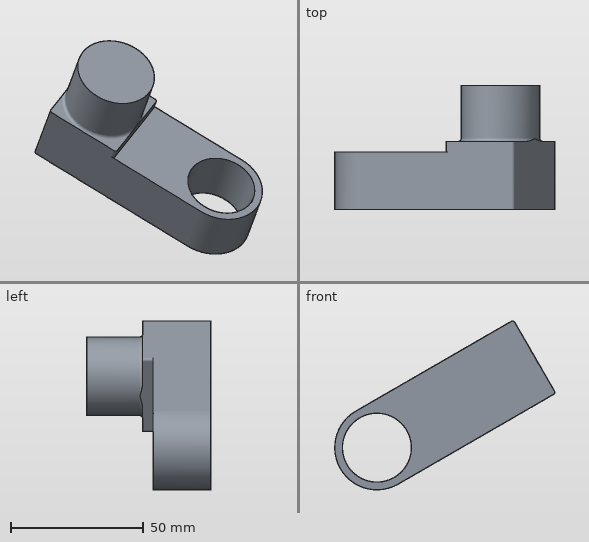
import cadquery as cq
import math

overall_length = 83.3
arm_angle = 30.0
eye_radius = 16.0
bore_radius = 13.0
arm_thickness = 21.8
pad_thickness = 4.0
pad_start = 39.05
corner_radius = 1.0
total_depth = 47.0
root_radius = 1.0

tilt_cos = math.cos(math.radians(arm_angle))
tilt_sin = math.sin(math.radians(arm_angle))
corner_reach = eye_radius * tilt_sin - corner_radius * (tilt_cos + tilt_sin - 1)
arm_length = (overall_length - eye_radius - corner_reach) / tilt_cos

pad_top = arm_thickness + pad_thickness
arm_width = 2 * eye_radius
pad_length = arm_length - pad_start

pin_radius = pad_length / 2
pin_distance = pad_start + pin_radius


def make_arm():
    """Flat arm with a full round end, a bored eye and rounded far corners."""
    arm = (
        cq.Workplane("XY")
        .moveTo(0, eye_radius)
        .lineTo(arm_length, eye_radius)
        .lineTo(arm_length, -eye_radius)
        .lineTo(0, -eye_radius)
        .threePointArc((-eye_radius, 0), (0, eye_radius))
        .close()
        .extrude(arm_thickness)
    )
    arm = arm.edges("|Z and >X").fillet(corner_radius)
    return arm.faces("<Z").workplane(origin=(0, 0, 0)).hole(2 * bore_radius)


def pad_block(height):
    """Rounded rectangle with the pad outline, rising from the arm's back face."""
    return (
        cq.Workplane("XY", origin=(pin_distance, 0, arm_thickness))
        .rect(pad_length, arm_width)
        .extrude(height)
        .edges("|Z")
        .fillet(corner_radius)
    )


def make_pin():
    """Plain round pin standing on the pad."""
    return (
        cq.Workplane("XY", origin=(pin_distance, 0, pad_top))
        .circle(pin_radius)
        .extrude(total_depth - pad_top)
    )


def make_pin_root():
    """Concave fillet ring at the foot of the pin, cut off at the pad's sides."""
    arc_offset = root_radius * (1 - math.sqrt(0.5))
    ring = (
        cq.Workplane("XZ", origin=(pin_distance, 0, pad_top))
        .lineTo(pin_radius + root_radius, 0)
        .threePointArc((pin_radius + arc_offset, arc_offset), (pin_radius, root_radius))
        .lineTo(0, root_radius)
        .close()
        .revolve(360, (0, 0, 0), (0, 1, 0))
    )
    return ring.intersect(pad_block(pad_thickness + root_radius))


lever = make_arm().union(pad_block(pad_thickness)).union(make_pin()).union(make_pin_root())

lever = lever.rotate((0, 0, 0), (0, 0, 1), -arm_angle)
result = lever.rotate((0, 0, 0), (1, 0, 0), -90)